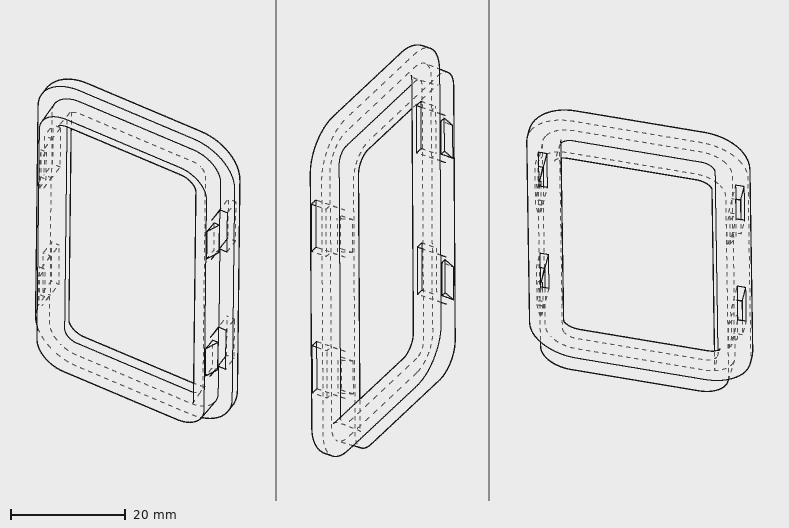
import cadquery as cq
import math

frame_width = 39.4
frame_height = 70.4
frame_corner_radius = 8.3
frame_tilt = 0.53

flange_thickness = 3.0
sleeve_depth = 4.7

sleeve_inset = 2.8
opening_inset = 5.85

outer_draft = 2.0
inner_draft = 2.0

flange_rim_round = 1.5
flange_opening_round = 2.0
sleeve_opening_round = 1.5

window_outer_inset = 1.4
window_inner_inset = 2.9
window_length = 10.0

clip_pitch = 30.0
clip_length = 7.0
clip_tip_inset = 1.85
clip_gap = 2.0
clip_depth = 2.4
clip_embed = 0.3

sides = (-1, 1)
clip_heights = (-clip_pitch / 2, clip_pitch / 2)
rim_x = frame_width / 2


def rounded_outline(inset, y):
    """Frame outline shrunk by inset, drawn at depth y; a positive extrusion runs toward -Y."""
    return (
        cq.Workplane("XZ", origin=(0, y, 0))
        .sketch()
        .rect(frame_width - 2 * inset, frame_height - 2 * inset)
        .vertices()
        .fillet(frame_corner_radius - inset)
        .finalize()
    )


def round_opening(body, face, radius):
    """Round the inner edge loop of the given end face."""
    opening_edges = body.faces(face).wires().vals()
    inner_loop = min(opening_edges, key=lambda wire: wire.Length())
    return body.newObject(inner_loop.Edges()).fillet(radius)


def make_windows():
    """The four window blocks, long enough to pass through both flange and sleeve."""
    width = window_inner_inset - window_outer_inset
    centre_x = rim_x - (window_inner_inset + window_outer_inset) / 2
    places = [(side * centre_x, z) for side in sides for z in clip_heights]
    return (
        cq.Workplane("XZ", origin=(0, flange_thickness, 0))
        .pushPoints(places)
        .rect(width, window_length)
        .extrude(flange_thickness + sleeve_depth)
    )


def make_clip(side, z):
    """Wedge with a flat catching face toward the flange, sloping into the sleeve wall."""
    clip_end = clip_gap + clip_depth
    tip_x = rim_x - clip_tip_inset
    wall_x = rim_x - sleeve_inset - clip_end * math.tan(math.radians(outer_draft))
    root_x = wall_x - clip_embed
    return (
        cq.Workplane("XY", origin=(0, 0, z))
        .moveTo(side * tip_x, -clip_gap)
        .lineTo(side * wall_x, -clip_end)
        .lineTo(side * root_x, -clip_end)
        .lineTo(side * root_x, -clip_gap)
        .close()
        .extrude(clip_length / 2, both=True)
    )


def tilt(body):
    return body.rotate((0, 0, 0), (0, 1, 0), frame_tilt)


def make_flange():
    body = rounded_outline(0, flange_thickness).extrude(flange_thickness)
    body = body.faces(">Y").edges().fillet(flange_rim_round)
    body = body.cut(rounded_outline(opening_inset, flange_thickness).extrude(flange_thickness))
    body = round_opening(body, ">Y", flange_opening_round)
    return tilt(body.cut(make_windows()))


def make_sleeve():
    body = rounded_outline(sleeve_inset, 0).extrude(sleeve_depth, taper=outer_draft)
    body = body.cut(rounded_outline(opening_inset, 0).extrude(sleeve_depth, taper=-inner_draft))
    body = round_opening(body, "<Y", sleeve_opening_round)
    body = body.cut(make_windows())
    for side in sides:
        for z in clip_heights:
            body = body.union(make_clip(side, z))
    return tilt(body)


flange = make_flange()
sleeve = make_sleeve()
result = cq.Compound.makeCompound([flange.val(), sleeve.val()])